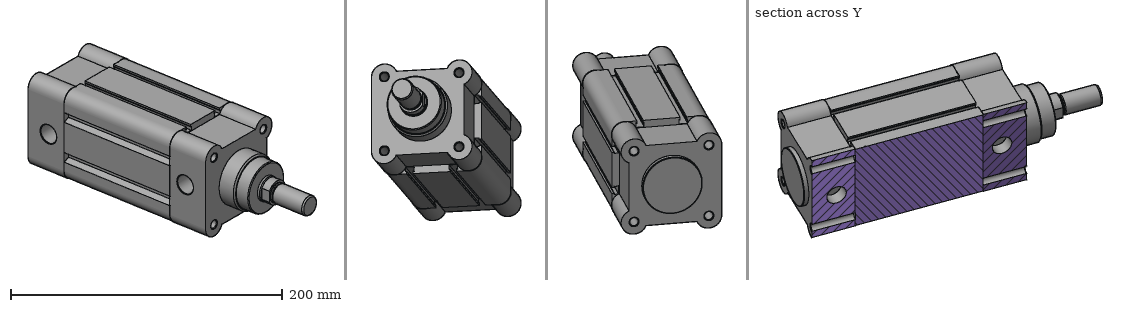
import cadquery as cq


TOTAL_LENGTH = 244.0
REAR_BOSS_LENGTH = 4.0
COVER_LENGTH = 34.6
BARREL_LENGTH = 102.0
REAR_COVER_START = REAR_BOSS_LENGTH
BARREL_START = REAR_COVER_START + COVER_LENGTH
FRONT_COVER_START = BARREL_START + BARREL_LENGTH
FRONT_COVER_END = FRONT_COVER_START + COVER_LENGTH

COVER_WIDTH = 76.0
LOBE_RADIUS = 9.8
LOBE_OFFSET = COVER_WIDTH / 2 - LOBE_RADIUS
LOBE_CENTERS = [(y, z) for y in (-LOBE_OFFSET, LOBE_OFFSET) for z in (-LOBE_OFFSET, LOBE_OFFSET)]
CORE_HALF_WIDTH = 32.0
SCREW_HOLE_RADIUS = 3.2
SCREW_HOLE_CHAMFER = 0.6

BOSS_RADIUS = 22.5
REAR_BOSS_CHAMFER = 0.5
FRONT_BOSS_LENGTH = 15.0
FRONT_BOSS_CHAMFER = 1.2
NOSE_RADIUS = 20.5
NOSE_LENGTH = 11.7
NOSE_CHAMFER = 0.7
NOSE_END = FRONT_COVER_END + FRONT_BOSS_LENGTH + NOSE_LENGTH

PORT_RADIUS = 7.5
PORT_CHAMFER = 0.5
PORT_DEPTH = 19.5
PORT_Z_SHIFT = 2.5
PORT_INSET = 19.8

BARREL_WIDTH = 75.2
SLOT_SPACING = 32.7
SLOT_DEPTH = 5.1
SLOT_MOUTH_WIDTH = 5.0
SLOT_WIDTH = 6.3
SLOT_LIP = 2.0
FRONT_SLOT_SPACING = 33.7
FRONT_SLOT_MOUTH_WIDTH = 8.0
FRONT_SLOT_FLOOR_WIDTH = 3.7
FRONT_SLOT_DEPTH = 5.0

COLLAR_RADIUS = 10.2
COLLAR_END = 203.7
ROD_RADIUS = 9.8
COLLAR_TAPER_LENGTH = 1.0
FLATS_WIDTH = 17.0
SHOULDER_END = 212.0
RELIEF_RADIUS = 7.3
RELIEF_START = 212.5
RELIEF_TAPER_LENGTH = 0.7
RELIEF_FLOOR_LENGTH = 0.7
THREAD_RADIUS = 8.0
THREAD_CHAMFER = 0.7
THREAD_CHAMFER_LENGTH = 1.5


def section_at(x):
    """YZ sketch plane at x, with local x along +Y and local y along +Z."""
    return cq.Workplane("YZ", origin=(x, 0, 0))


def revolve_about_x(profile):
    """Solid of revolution from (x, radius) points, closed along the X axis."""
    return cq.Workplane("XY").polyline(profile).close().revolve(360, (0, 0, 0), (1, 0, 0))


def cover_block(x_start):
    """Lobed cover with four screw holes; its -Y side is one flat face."""
    core_width = CORE_HALF_WIDTH + LOBE_OFFSET
    core_center = (CORE_HALF_WIDTH - LOBE_OFFSET) / 2
    core = section_at(x_start).center(core_center, 0).rect(
        core_width, 2 * CORE_HALF_WIDTH
    ).extrude(COVER_LENGTH)
    port_side_center = (-COVER_WIDTH / 2 - LOBE_OFFSET) / 2
    port_side = section_at(x_start).center(port_side_center, 0).rect(
        LOBE_RADIUS, 2 * LOBE_OFFSET
    ).extrude(COVER_LENGTH)
    lobes = section_at(x_start).pushPoints(LOBE_CENTERS).circle(LOBE_RADIUS).extrude(COVER_LENGTH)
    holes = section_at(x_start).pushPoints(LOBE_CENTERS).circle(SCREW_HOLE_RADIUS).extrude(COVER_LENGTH)
    return core.union(port_side).union(lobes).cut(holes)


def countersink(x_face, direction):
    """Chamfer cones for the screw holes that open on the outer face at x_face."""
    cones = cq.Workplane("XY")
    for y, z in LOBE_CENTERS:
        cones.add(cq.Solid.makeCone(
            SCREW_HOLE_RADIUS + SCREW_HOLE_CHAMFER, SCREW_HOLE_RADIUS, SCREW_HOLE_CHAMFER,
            cq.Vector(x_face, y, z), cq.Vector(direction, 0, 0),
        ))
    return cones.combine()


def air_port(x, z):
    """Blind port with a chamfered mouth, cut into the -Y side."""
    mouth_radius = PORT_RADIUS + PORT_CHAMFER
    mouth = cq.Vector(x, -COVER_WIDTH / 2, z)
    inward = cq.Vector(0, 1, 0)
    bore = cq.Solid.makeCylinder(PORT_RADIUS, PORT_DEPTH, mouth, inward)
    chamfer = cq.Solid.makeCone(mouth_radius, PORT_RADIUS, PORT_CHAMFER, mouth, inward)
    return cq.Workplane(bore).union(cq.Workplane(chamfer))


def make_rear_cover():
    """Cover with a round centring boss on its -X face."""
    boss = revolve_about_x([
        (0, 0),
        (0, BOSS_RADIUS - REAR_BOSS_CHAMFER),
        (REAR_BOSS_CHAMFER, BOSS_RADIUS),
        (BARREL_START, BOSS_RADIUS),
        (BARREL_START, 0),
    ])
    return (
        cover_block(REAR_COVER_START)
        .union(boss)
        .cut(countersink(REAR_COVER_START, 1))
        .cut(air_port(REAR_COVER_START + PORT_INSET, -PORT_Z_SHIFT))
    )


def make_front_cover():
    """Cover with a stepped bearing nose on its +X face."""
    boss_end = FRONT_COVER_END + FRONT_BOSS_LENGTH
    nose = revolve_about_x([
        (FRONT_COVER_START, 0),
        (FRONT_COVER_START, BOSS_RADIUS),
        (boss_end - FRONT_BOSS_CHAMFER, BOSS_RADIUS),
        (boss_end, BOSS_RADIUS - FRONT_BOSS_CHAMFER),
        (boss_end, NOSE_RADIUS),
        (NOSE_END - NOSE_CHAMFER, NOSE_RADIUS),
        (NOSE_END, NOSE_RADIUS - NOSE_CHAMFER),
        (NOSE_END, 0),
    ])
    return (
        cover_block(FRONT_COVER_START)
        .union(nose)
        .cut(countersink(FRONT_COVER_END, -1))
        .cut(air_port(FRONT_COVER_END - PORT_INSET, PORT_Z_SHIFT))
    )


def t_slot(offset):
    """Undercut slot along X in the +Z side, centred at y = offset."""
    surface = BARREL_WIDTH / 2
    mouth = section_at(BARREL_START).center(offset, surface - SLOT_DEPTH / 2).rect(
        SLOT_MOUTH_WIDTH, SLOT_DEPTH
    ).extrude(BARREL_LENGTH)
    undercut_depth = SLOT_DEPTH - SLOT_LIP
    undercut = section_at(BARREL_START).center(
        offset, surface - SLOT_DEPTH + undercut_depth / 2
    ).rect(SLOT_WIDTH, undercut_depth).extrude(BARREL_LENGTH)
    return mouth.union(undercut)


def tapered_slot(offset):
    """Slot along X in the -Y side that narrows toward its floor, centred at z = offset."""
    surface = -BARREL_WIDTH / 2
    floor = surface + FRONT_SLOT_DEPTH
    return section_at(BARREL_START).polyline([
        (surface, offset - FRONT_SLOT_MOUTH_WIDTH / 2),
        (surface, offset + FRONT_SLOT_MOUTH_WIDTH / 2),
        (floor, offset + FRONT_SLOT_FLOOR_WIDTH / 2),
        (floor, offset - FRONT_SLOT_FLOOR_WIDTH / 2),
    ]).close().extrude(BARREL_LENGTH)


def make_barrel():
    """Rounded square bar with paired T-slots on three sides and tapered slots on the -Y side."""
    barrel = section_at(BARREL_START).rect(BARREL_WIDTH, BARREL_WIDTH).extrude(BARREL_LENGTH)
    barrel = barrel.edges("|X").fillet(BARREL_WIDTH / 2 - LOBE_OFFSET)
    for side in (-1, 1):
        slot = t_slot(side * SLOT_SPACING / 2)
        for turn in (0, 90, 180):
            barrel = barrel.cut(slot.rotate((0, 0, 0), (1, 0, 0), -turn))
        barrel = barrel.cut(tapered_slot(side * FRONT_SLOT_SPACING / 2))
    return barrel


def make_piston_rod():
    """Collar with a tapered end, wrench flats on the +-Y sides, relief groove and threaded end."""
    relief_floor_start = RELIEF_START + RELIEF_TAPER_LENGTH
    relief_floor_end = relief_floor_start + RELIEF_FLOOR_LENGTH
    collar_taper_end = COLLAR_END + COLLAR_TAPER_LENGTH
    rod = revolve_about_x([
        (NOSE_END, 0),
        (NOSE_END, COLLAR_RADIUS),
        (COLLAR_END, COLLAR_RADIUS),
        (collar_taper_end, ROD_RADIUS),
        (SHOULDER_END, ROD_RADIUS),
        (SHOULDER_END, THREAD_RADIUS),
        (RELIEF_START, THREAD_RADIUS),
        (relief_floor_start, RELIEF_RADIUS),
        (relief_floor_end, RELIEF_RADIUS),
        (relief_floor_end + RELIEF_TAPER_LENGTH, THREAD_RADIUS),
        (TOTAL_LENGTH - THREAD_CHAMFER_LENGTH, THREAD_RADIUS),
        (TOTAL_LENGTH, THREAD_RADIUS - THREAD_CHAMFER),
        (TOTAL_LENGTH, 0),
    ])
    for side in (-1, 1):
        flat = cq.Workplane("XY").box(
            SHOULDER_END - collar_taper_end, ROD_RADIUS, 2 * ROD_RADIUS, centered=(False, True, True)
        ).translate((collar_taper_end, side * (FLATS_WIDTH + ROD_RADIUS) / 2, 0))
        rod = rod.cut(flat)
    return rod


rear_cover = make_rear_cover()
barrel = make_barrel()
front_cover = make_front_cover()
piston_rod = make_piston_rod()

result = cq.Compound.makeCompound([
    rear_cover.val(),
    barrel.val(),
    front_cover.val(),
    piston_rod.val(),
])